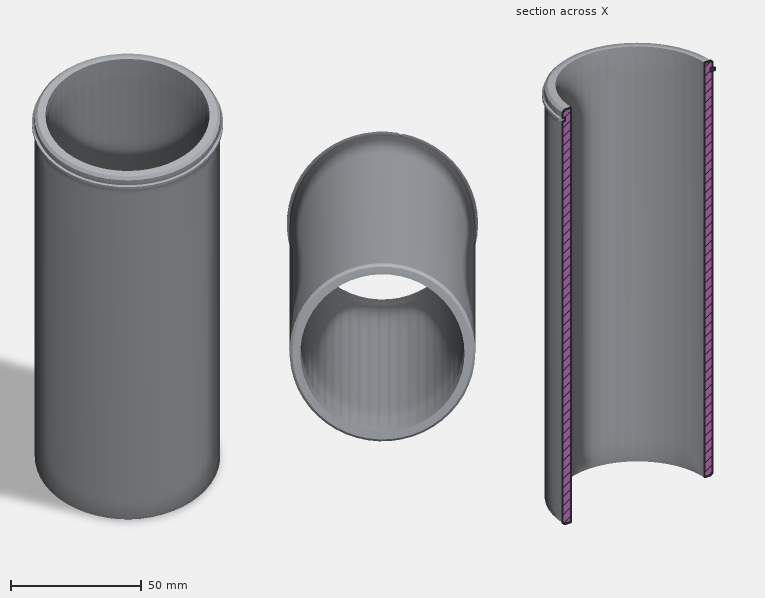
import cadquery as cq

tube_length = 180.0
tube_diameter = 71.3
bore_diameter = 63.0
chamfer = 1.0

ring_outer_diameter = 73.5
ring_inner_diameter = 69.1
ring_height = 1.3
ring_top_depth = 3.6
ring_split_width = 1.5

ring_base = tube_length - ring_top_depth - ring_height


def make_annulus(outer_diameter, inner_diameter, base, height):
    """Flat-ended ring about the Z axis, standing on the given height."""
    return (
        cq.Workplane("XY", origin=(0, 0, base))
        .circle(outer_diameter / 2)
        .circle(inner_diameter / 2)
        .extrude(height)
    )


def make_tube():
    """Open cylinder with chamfered outer ends and a groove for the ring."""
    body = cq.Workplane("XY").circle(tube_diameter / 2).extrude(tube_length)
    body = body.faces("<Z or >Z").edges().chamfer(chamfer)
    bore = cq.Workplane("XY").circle(bore_diameter / 2).extrude(tube_length)
    groove = make_annulus(ring_outer_diameter, ring_inner_diameter, ring_base, ring_height)
    return body.cut(bore).cut(groove)


def make_snap_ring():
    """Ring filling the groove, split by a narrow gap on the +Y side."""
    ring = make_annulus(ring_outer_diameter, ring_inner_diameter, ring_base, ring_height)
    split_length = ring_outer_diameter / 2
    split = cq.Workplane("XY", origin=(0, split_length / 2, ring_base)).box(
        ring_split_width, split_length, ring_height, centered=(True, True, False)
    )
    return ring.cut(split)


tube = make_tube()
snap_ring = make_snap_ring()

result = cq.Compound.makeCompound([tube.val(), snap_ring.val()])